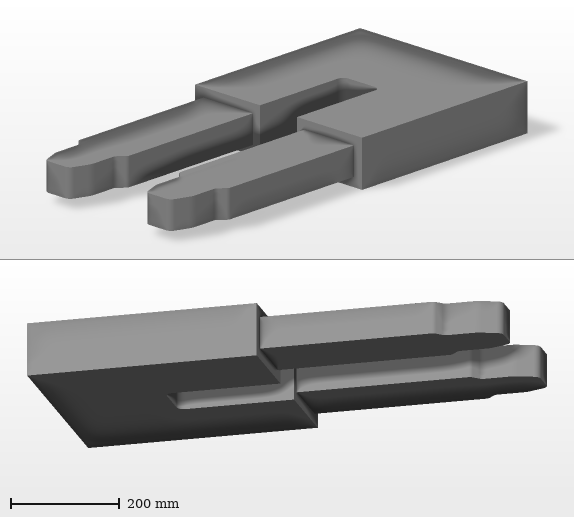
import cadquery as cq
import math

total_length = 891.5
body_width = 427.0
body_length = 438.0
body_thickness = 102.0

slot_width = 94.5
slot_depth = 220.0
slot_corner_radius = 13.0

prong_pitch = 258.0
prong_width = 127.0
prong_thickness = 61.5
neck_width = 93.0
tip_width = 61.0
tip_taper_angle = 20.0
shoulder_height = 122.0
shoulder_radius = 11.0
taper_radius = 39.0
tip_radius = 14.0

edge_pick_margin = 1.0

tip_y = -total_length / 2
body_back_y = total_length / 2
body_front_y = body_back_y - body_length


def make_body():
    body = cq.Workplane("XY").box(body_width, body_length, body_thickness)
    body = body.translate((0, body_back_y - body_length / 2, 0))
    slot = (
        cq.Workplane("XY")
        .box(slot_width, slot_depth, body_thickness)
        .edges("|Z and >Y")
        .fillet(slot_corner_radius)
        .translate((0, body_front_y + slot_depth / 2, 0))
    )
    return body.cut(slot)


def make_prong(center_x):
    shoulder_step = (prong_width - neck_width) / 2
    shoulder_y = tip_y + shoulder_height
    neck_top_y = shoulder_y - shoulder_step
    taper_run = (neck_width - tip_width) / 2
    taper_y = tip_y + taper_run / math.tan(math.radians(tip_taper_angle))

    right_side = [
        (prong_width / 2, body_front_y),
        (prong_width / 2, shoulder_y),
        (neck_width / 2, neck_top_y),
        (neck_width / 2, taper_y),
        (tip_width / 2, tip_y),
    ]
    left_side = [(-x, y) for x, y in reversed(right_side)]
    prong = (
        cq.Workplane("XY")
        .polyline(right_side + left_side)
        .close()
        .extrude(prong_thickness / 2, both=True)
    )

    corner_radii = [
        (shoulder_y, shoulder_radius),
        (neck_top_y, shoulder_radius),
        (taper_y, taper_radius),
        (tip_y, tip_radius),
    ]
    for corner_y, radius in corner_radii:
        corner_edges = cq.selectors.BoxSelector(
            (-prong_width, corner_y - edge_pick_margin, -prong_thickness),
            (prong_width, corner_y + edge_pick_margin, prong_thickness),
        )
        prong = prong.edges("|Z").edges(corner_edges).fillet(radius)
    return prong.translate((center_x, 0, 0))


result = make_body()
for side in (-1, 1):
    result = result.union(make_prong(side * prong_pitch / 2))